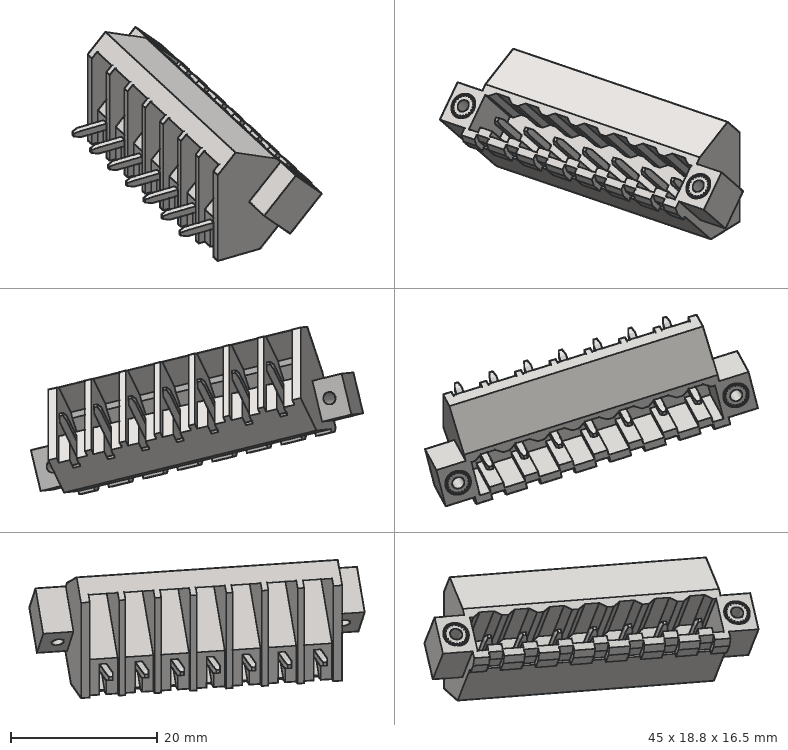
import cadquery as cq
import math


pole_count = 7
pitch = 5.0
pole_places = [(i - (pole_count - 1) / 2) * pitch for i in range(pole_count)]
gap_places = [(i - pole_count / 2) * pitch for i in range(pole_count + 1)]

total_length = 45.0
body_length = 36.55
body_height = 16.5
front_height = 13.72
face_out = 16.15
face_top = -3.2
underside_down = 4.7

lip_start = 13.1
lip_bevel_start = 14.95
lip_down = 5.15
lip_edge_down = 4.65
notch_width = 2.02
notch_step = 0.75

opening_length = 35.1
opening_floor = 8.1
opening_top = -2.48
opening_bottom = 3.5
ridge_crest_width = 0.95
ridge_base_width = 2.95
ridge_height = 0.7

pocket_width = 4.1
block_front = 0.95
block_height = 5.18
pocket_roof_front = 14.55
pocket_roof_step = 13.95
pocket_roof_back = 12.95

flange_back = 9.15
flange_top = -2.2
flange_bottom = 3.55
axis_down = (flange_top + flange_bottom) / 2
screw_spacing = 40.05
screw_hole_diameter = 1.7
knurl_diameter = 3.6
knurl_inner_diameter = 2.9
knurl_depth = 0.2
knurl_teeth = 20
knurl_clearance = 0.05

pin_width = 1.0
pin_tip_width = 0.5
pin_taper = 0.9
pin_height = 3.9
pin_reach = 4.1
mating_pin_end = 14.8

slot_corner_height = 0.25
slot_corner_y = 2.25

root2 = math.sqrt(2)
tilted = cq.Plane(origin=(0, 0, 0), xDir=(1, 0, 0), normal=(0, 1, 1))


def yz(out, down):
    """Turn a place in the tilted frame into (Y, Z)."""
    return ((out + down) / root2, (out - down) / root2)


def side_prism(points, width, x=0):
    """Extrude a (Y, Z) outline along X, centred on x."""
    outline = cq.Workplane("YZ", origin=(x, 0, 0)).polyline(points).close()
    return outline.extrude(width / 2, both=True)


def tilted_box(width, x, down_range, out_range):
    """Box aligned with the tilted frame, centred on x."""
    down_start, down_end = down_range
    out_start, out_end = out_range
    return (
        cq.Workplane(tilted)
        .workplane(offset=out_start)
        .center(x, (down_start + down_end) / 2)
        .rect(width, down_end - down_start)
        .extrude(out_end - out_start)
    )


def housing():
    crest_y = body_height - front_height
    heel_y = underside_down * root2
    return side_prism(
        [
            (0, 0),
            (0, front_height),
            (crest_y, body_height),
            yz(face_out, face_top),
            yz(face_out, lip_edge_down),
            yz(lip_bevel_start, lip_down),
            yz(lip_start, lip_down),
            yz(lip_start, underside_down),
            (heel_y, 0),
        ],
        body_length,
    )


def lip_notch(x):
    """Material outside the lip removed at one pole; it keeps the lip's bevel."""
    beyond = lip_down + notch_step
    return side_prism(
        [
            yz(lip_start, beyond),
            yz(lip_start, lip_down - notch_step),
            yz(lip_bevel_start, lip_down - notch_step),
            yz(face_out, lip_edge_down - notch_step),
            yz(face_out, beyond),
        ],
        notch_width,
        x,
    )


def opening_ridge(x):
    """Ridge between two poles on the upper wall of the plug opening."""
    half_crest = ridge_crest_width / 2
    half_base = ridge_base_width / 2
    return (
        cq.Workplane(tilted)
        .workplane(offset=opening_floor)
        .moveTo(x - half_base, opening_top)
        .lineTo(x - half_crest, opening_top + ridge_height)
        .lineTo(x + half_crest, opening_top + ridge_height)
        .lineTo(x + half_base, opening_top)
        .close()
        .extrude(face_out - opening_floor)
    )


def plug_opening():
    """Opening with a stepped lower wall and sloped ridges on its upper wall."""
    out_range = (opening_floor, face_out)
    opening = tilted_box(opening_length, 0, (opening_top, opening_bottom), out_range)
    for x in pole_places:
        step_range = (opening_bottom - notch_step, opening_bottom)
        opening = opening.cut(tilted_box(notch_width, x, step_range, out_range))
    for x in gap_places:
        opening = opening.cut(opening_ridge(x))
    return opening


def front_pocket(x):
    """Pocket between two ribs with a 45 degree floor.

    Its roof starts level, drops at 45 degrees and ends parallel to the top face.
    """
    lip_y = pocket_roof_front - front_height
    floor_offset = block_front - block_height
    floor_end_y = pocket_roof_back + floor_offset
    crest_y = body_height - front_height
    edge_y, edge_z = yz(face_out, face_top)
    top_fall = (body_height - edge_z) / (edge_y - crest_y)
    step_y = floor_end_y - (pocket_roof_step - pocket_roof_back) / top_fall
    return side_prism(
        [
            (0, 0),
            (0, front_height),
            (lip_y, pocket_roof_front),
            (step_y - (pocket_roof_front - pocket_roof_step), pocket_roof_front),
            (step_y, pocket_roof_step),
            (floor_end_y, pocket_roof_back),
            (block_front, block_height),
            (block_front, 0),
        ],
        pocket_width,
        x,
    )


def pin_slot(x):
    """Slot under a pin, open at the front and below, with a 45 degree back."""
    slot_height = pin_height + pin_width / 2
    return side_prism(
        [
            (0, 0),
            (0, slot_height),
            (slot_corner_y + slot_height - slot_corner_height, slot_height),
            (slot_corner_y, slot_corner_height),
            (slot_corner_y + slot_corner_height, 0),
        ],
        pin_width,
        x,
    )


def flange(side):
    length = (total_length - body_length) / 2
    x = side * (body_length + length) / 2
    return tilted_box(length, x, (flange_top, flange_bottom), (flange_back, face_out))


def screw_cuts(side):
    """Through hole for a screw and the knurl grooves around it."""
    centre = (side * screw_spacing / 2, axis_down)
    hole = (
        cq.Workplane(tilted)
        .workplane(offset=flange_back)
        .center(*centre)
        .circle(screw_hole_diameter / 2)
        .extrude(face_out - flange_back)
    )
    groove_plane = cq.Workplane(tilted).workplane(offset=face_out - knurl_depth)
    star = []
    for i in range(2 * knurl_teeth):
        radius = (knurl_inner_diameter if i % 2 else knurl_diameter - 2 * knurl_clearance) / 2
        angle = math.pi * i / knurl_teeth
        star.append((radius * math.cos(angle), radius * math.sin(angle)))
    grooves = (
        groove_plane.center(*centre).circle(knurl_diameter / 2).extrude(knurl_depth)
        .cut(groove_plane.center(*centre).polyline(star).close().extrude(knurl_depth))
    )
    return hole.union(grooves)


def tapered_bar(plane, length):
    """Square bar along the plane's normal with a tapered tip."""
    shank = length - pin_taper
    bar = cq.Workplane(plane).rect(pin_width, pin_width).extrude(shank)
    tip = (
        cq.Workplane(plane)
        .workplane(offset=shank)
        .rect(pin_width, pin_width)
        .workplane(offset=pin_taper)
        .rect(pin_tip_width, pin_tip_width)
        .loft(combine=True)
    )
    return bar.union(tip)


def bent_pin(x):
    """Pin leaving the front along -Y, bent 45 degrees towards the mating face."""
    bend_y = pin_height + axis_down * root2
    bend_out = (bend_y + pin_height) / root2
    bend = (x, bend_y, pin_height)
    solder_plane = cq.Plane(origin=bend, xDir=(1, 0, 0), normal=(0, -1, 0))
    mating_plane = cq.Plane(origin=bend, xDir=(1, 0, 0), normal=(0, 1, 1))
    solder_leg = tapered_bar(solder_plane, bend_y + pin_reach)
    mating_leg = tapered_bar(mating_plane, mating_pin_end - bend_out)
    return solder_leg.union(mating_leg)


result = housing().cut(plug_opening())
for side in (-1, 1):
    result = result.union(flange(side)).cut(screw_cuts(side))
for pole in pole_places:
    result = result.cut(lip_notch(pole)).cut(front_pocket(pole)).cut(pin_slot(pole))
for pole in pole_places:
    result = result.union(bent_pin(pole))